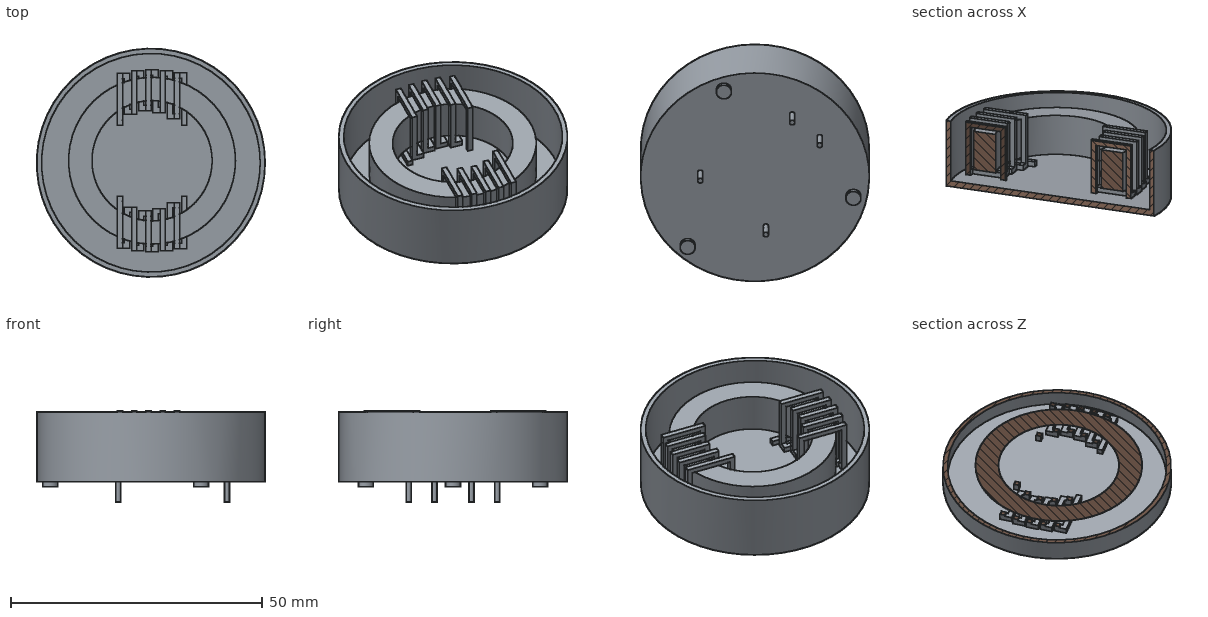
import cadquery as cq

HOUSING_DIAMETER = 45.5
HOUSING_HEIGHT = 13.92
WALL = 1.0
FLOOR = 1.3

FOOT_COUNT = 3
FOOT_DIAMETER = 3.0
FOOT_HEIGHT = 1.0
FOOT_CIRCLE_RADIUS = 20.0
FIRST_FOOT_ANGLE = 180.0

PIN_DIAMETER = 1.05
PIN_LENGTH = 4.0
WIDE_PAIR_X = -6.5
WIDE_PAIR_Y = 8.8
NARROW_PAIR_X = 15.15
NARROW_PAIR_Y = 3.7

CORE_X = 0.25
CORE_Y = 0.4
CORE_OUTER_RADIUS = 16.6
CORE_INNER_RADIUS = 11.95
CORE_BOTTOM = 4.28
CORE_TOP = 12.5

WIRE = 1.05
TURN_PITCH = 2.845
WINDING_TOP = 14.2
WINDING_BOTTOM = 3.0
OUTER_REACH = [17.4, 17.9, 18.05, 17.9, 17.45]
INNER_REACH = [7.05, 9.25, 9.95, 9.55, 8.33, 7.05]


def box_between(x_range, y_range, z_range):
    """Box spanning the given (low, high) ranges."""
    (x0, x1), (y0, y1), (z0, z1) = x_range, y_range, z_range
    return cq.Workplane("XY").box(x1 - x0, y1 - y0, z1 - z0, centered=False).translate((x0, y0, z0))


def make_housing():
    """Cup with its feet and terminal pins."""
    cup = cq.Workplane("XY").circle(HOUSING_DIAMETER / 2).extrude(HOUSING_HEIGHT)
    cavity = (
        cq.Workplane("XY")
        .workplane(offset=FLOOR)
        .circle(HOUSING_DIAMETER / 2 - WALL)
        .extrude(HOUSING_HEIGHT - FLOOR)
    )
    feet = (
        cq.Workplane("XY")
        .polarArray(FOOT_CIRCLE_RADIUS, FIRST_FOOT_ANGLE, 360, FOOT_COUNT)
        .circle(FOOT_DIAMETER / 2)
        .extrude(-FOOT_HEIGHT)
    )
    pin_places = [
        (x, side * y)
        for x, y in [(WIDE_PAIR_X, WIDE_PAIR_Y), (NARROW_PAIR_X, NARROW_PAIR_Y)]
        for side in (-1, 1)
    ]
    pins = cq.Workplane("XY").pushPoints(pin_places).circle(PIN_DIAMETER / 2).extrude(-PIN_LENGTH)
    return cup.cut(cavity).union(feet).union(pins)


def make_core():
    """Plain ring around which both windings are wound."""
    return (
        cq.Workplane("XY")
        .workplane(offset=CORE_BOTTOM)
        .center(CORE_X, CORE_Y)
        .circle(CORE_OUTER_RADIUS)
        .circle(CORE_INNER_RADIUS)
        .extrude(CORE_TOP - CORE_BOTTOM)
    )


def make_turn(x, outer, inner, next_inner, joins_next):
    """One turn, centred on x: over the core, down both sides and back under to the next turn."""
    next_x = x + TURN_PITCH
    under_x = x + TURN_PITCH / 2
    half = WIRE / 2
    top_z = (WINDING_TOP - WIRE, WINDING_TOP)
    bottom_z = (WINDING_BOTTOM, WINDING_BOTTOM + WIRE)
    full_z = (WINDING_BOTTOM, WINDING_TOP)
    outer_y = (outer - WIRE, outer)
    turn_x = (x - half, x + half)

    top_bar = box_between(turn_x, (inner, outer), top_z)
    outer_leg = box_between(turn_x, outer_y, full_z)
    inner_leg = box_between(turn_x, (inner, inner + WIRE), full_z)
    outer_step = box_between((x - half, under_x + half), outer_y, bottom_z)
    under_bar = box_between((under_x - half, under_x + half), (next_inner, outer), bottom_z)
    turn = top_bar.union(outer_leg).union(inner_leg).union(outer_step).union(under_bar)
    if joins_next:
        inner_step = box_between(
            (under_x - half, next_x + half), (next_inner, next_inner + WIRE), bottom_z
        )
        turn = turn.union(inner_step)
    return turn


def make_winding():
    """Winding on the +Y side of a core centred on the Z axis, one continuous wire."""
    turn_count = len(OUTER_REACH)
    first_x = -(turn_count - 0.5) * TURN_PITCH / 2
    winding = None
    for i, outer in enumerate(OUTER_REACH):
        turn = make_turn(
            first_x + i * TURN_PITCH,
            outer,
            INNER_REACH[i],
            INNER_REACH[i + 1],
            joins_next=i < turn_count - 1,
        )
        winding = turn if winding is None else winding.union(turn)
    return winding


housing = make_housing()
core = make_core()
windings = []
for mirrored in (False, True):
    winding = make_winding()
    if mirrored:
        winding = winding.mirror("XZ")
    windings.append(winding.translate((CORE_X, CORE_Y, 0)))

result = cq.Compound.makeCompound(
    [housing.val(), core.val(), *[winding.val() for winding in windings]]
)